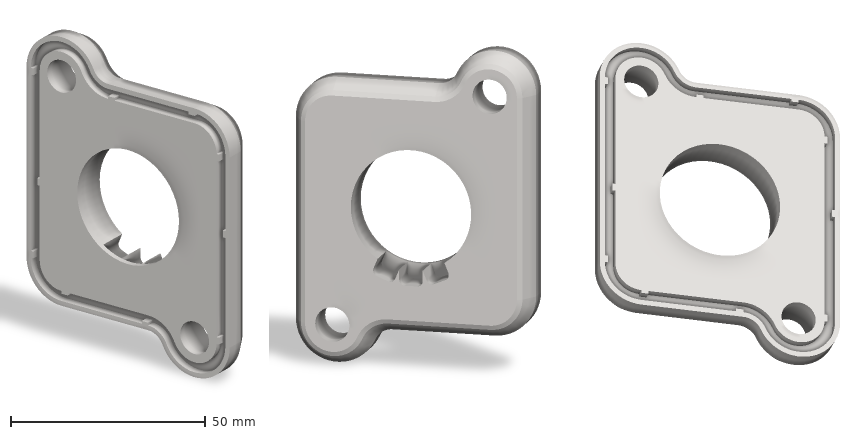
import cadquery as cq
import math

width = 64.0
height = 85.0
thickness = 10.0

body_height = 65.95
corner_radius = 11.05
neck_radius = 5.0
half_width = width / 2
half_body = body_height / 2
ear_x = half_width - corner_radius
ear_z = height / 2 - corner_radius
corner_z = half_body - corner_radius

neck_z = half_body + neck_radius
center_distance = corner_radius + neck_radius
neck_x = -ear_x + math.sqrt(center_distance**2 - (neck_z - ear_z) ** 2)
neck_angle = math.atan2(neck_z - ear_z, neck_x + ear_x)

straight_depth = 4.9
taper_angle = 30.0
back_chamfer = 0.85

rim_width = 1.4
groove_width = 2.8
groove_depth = 2.2
tab_width = 1.95
tab_reach = 0.8

bore_diameter = 32.0
ear_hole_diameter = 9.1

slot_pitch = 22.5
slot_angles = (-slot_pitch, 0.0, slot_pitch)
slot_floor_radius = 20.0
slot_corner_radius = 1.5
lip_thickness = 1.5
slot_width = bore_diameter * math.sin(math.radians(slot_pitch / 2))


def front_plane(y):
    """Plane facing -Y at the given depth, with local axes along X and Z."""
    return cq.Workplane("XZ", origin=(0, y, 0))


def on_arc(center_x, center_z, radius, angle):
    """Point of an arc at an angle counted from +X towards +Z."""
    return (center_x + radius * math.cos(angle), center_z + radius * math.sin(angle))


def outline(y, inset=0.0):
    """Closed outline at depth y, moved inwards by the inset."""
    radius = corner_radius - inset
    neck = neck_radius + inset
    side = half_width - inset
    edge = half_body - inset

    ear_left = (-side, ear_z)
    ear_top = on_arc(-ear_x, ear_z, radius, math.pi / 2)
    ear_end = on_arc(-ear_x, ear_z, radius, neck_angle)
    neck_mid = on_arc(neck_x, neck_z, neck, neck_angle / 2 - 3 * math.pi / 4)
    neck_end = (neck_x, edge)
    corner_start = (ear_x, edge)
    corner_mid = on_arc(ear_x, corner_z, radius, math.pi / 4)
    corner_end = (side, corner_z)

    def opposite(point):
        return (-point[0], -point[1])

    return (
        front_plane(y)
        .moveTo(*ear_left)
        .threePointArc(ear_top, ear_end)
        .threePointArc(neck_mid, neck_end)
        .lineTo(*corner_start)
        .threePointArc(corner_mid, corner_end)
        .lineTo(*opposite(ear_left))
        .threePointArc(opposite(ear_top), opposite(ear_end))
        .threePointArc(opposite(neck_mid), opposite(neck_end))
        .lineTo(*opposite(corner_start))
        .threePointArc(opposite(corner_mid), opposite(corner_end))
        .close()
    )


def make_body():
    """Straight front portion with a tapered back chamfered at its rear edge."""
    straight = outline(0).extrude(-straight_depth)
    taper_depth = thickness - straight_depth
    taper_inset = taper_depth * math.tan(math.radians(taper_angle))
    sections = [outline(straight_depth).val(), outline(thickness, taper_inset).val()]
    tapered = cq.Solid.makeLoft(sections, True)
    return straight.union(tapered).faces(">Y").edges().chamfer(back_chamfer)


def make_tabs():
    """Tabs on both groove walls, each starting where a straight wall section begins."""
    half_tab = tab_width / 2
    rim_side = half_width - rim_width - tab_reach / 2
    rim_edge = half_body - rim_width - tab_reach / 2
    island_inset = rim_width + groove_width - tab_reach / 2
    island_side = half_width - island_inset
    island_edge = half_body - island_inset
    side_tabs = [
        (-rim_side, ear_z - half_tab),
        (-rim_side, half_tab - corner_z),
        (rim_side, 0),
        (-island_side, 0),
        (island_side, corner_z - half_tab),
        (island_side, half_tab - ear_z),
    ]
    edge_tabs = [
        (ear_x - half_tab, rim_edge),
        (-neck_x - half_tab, -rim_edge),
        (neck_x + half_tab, island_edge),
        (half_tab - ear_x, -island_edge),
    ]
    upright = front_plane(0).pushPoints(side_tabs).rect(tab_reach, tab_width).extrude(-groove_depth)
    flat = front_plane(0).pushPoints(edge_tabs).rect(tab_width, tab_reach).extrude(-groove_depth)
    return upright.union(flat)


def make_groove():
    """Groove between the rim and the central island, with the tabs left standing."""
    outer = outline(0, rim_width).extrude(-groove_depth)
    island = outline(0, rim_width + groove_width).extrude(-groove_depth)
    return outer.cut(island).cut(make_tabs())


def make_slot(angle):
    """Slot running from the bore axis outwards, turned from straight down about the axis."""
    return (
        front_plane(lip_thickness)
        .center(0, -slot_floor_radius / 2)
        .rect(slot_width, slot_floor_radius)
        .extrude(lip_thickness - thickness)
        .edges("|Y and <Z")
        .fillet(slot_corner_radius)
        .rotate((0, 0, 0), (0, 1, 0), angle)
    )


def make_holes():
    """Central bore and one through hole in each ear."""
    bore = front_plane(0).circle(bore_diameter / 2).extrude(-thickness)
    ear_centers = [(-ear_x, ear_z), (ear_x, -ear_z)]
    ear_holes = front_plane(0).pushPoints(ear_centers).circle(ear_hole_diameter / 2).extrude(-thickness)
    return bore.union(ear_holes)


def make_slots():
    """All slots joined; each starts behind the lip and runs out through the back."""
    slots = make_slot(slot_angles[0])
    for angle in slot_angles[1:]:
        slots = slots.union(make_slot(angle))
    return slots


result = make_body().cut(make_groove()).cut(make_holes()).cut(make_slots())